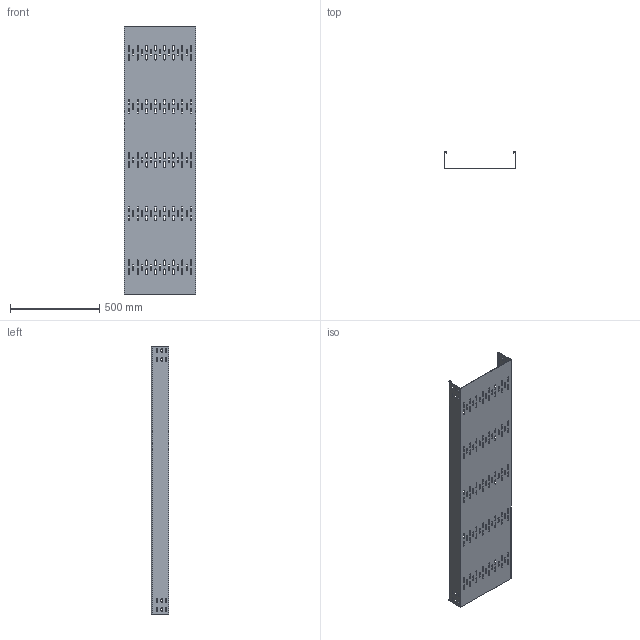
import cadquery as cq

width = 400.0
depth = 98.0
length = 1500.0
thickness = 2.0

curl_radius = 6.0
return_length = 5.0

slot_width = 7.0
web_slot_length = 32.0
web_slot_pitch = 50.0
web_slot_columns = 8
group_pitch = 300.0
group_count = 5

flange_slot_length = 20.0
flange_slot_columns = 3
flange_slot_column_pitch = 25.0
flange_slot_first_offset = 15.0
flange_slot_rows = 2
flange_slot_row_pitch = 50.0
flange_slot_end_offset = 25.0

half_width = width / 2
half_length = length / 2
curl_center_y = depth - curl_radius
return_end_y = curl_center_y - return_length
web_cut_reach = 2 * thickness


def half_profile():
    """Cross-section in X and Y on the +X side, with the web's outer face at Y = 0."""
    flange_inner_x = half_width - thickness
    curl_center_x = half_width - curl_radius
    lip_x = half_width - 2 * curl_radius
    return (
        cq.Workplane("XY")
        .workplane(offset=-half_length)
        .lineTo(half_width, 0)
        .lineTo(half_width, curl_center_y)
        .threePointArc((curl_center_x, depth), (lip_x, curl_center_y))
        .lineTo(lip_x, return_end_y)
        .lineTo(lip_x + thickness, return_end_y)
        .lineTo(lip_x + thickness, curl_center_y)
        .threePointArc((curl_center_x, depth - thickness), (flange_inner_x, curl_center_y))
        .lineTo(flange_inner_x, thickness)
        .lineTo(0, thickness)
        .close()
    )


def channel():
    half = half_profile().extrude(length)
    return half.union(half.mirror("YZ"))


def centered_positions(count, pitch):
    return [(i - (count - 1) / 2) * pitch for i in range(count)]


def web_slot_points():
    """Each group: two rows of slots, with a staggered row between them."""
    points = []
    for group_z in centered_positions(group_count, group_pitch):
        for x in centered_positions(web_slot_columns, web_slot_pitch):
            points.append((x, group_z - web_slot_pitch / 2))
            points.append((x, group_z + web_slot_pitch / 2))
        for x in centered_positions(web_slot_columns - 1, web_slot_pitch):
            points.append((x, group_z))
    return points


def web_slot_cutter():
    return (
        cq.Workplane("XZ")
        .pushPoints(web_slot_points())
        .slot2D(web_slot_length, slot_width, 90)
        .extrude(web_cut_reach, both=True)
    )


def flange_slot_points():
    points = []
    for column in range(flange_slot_columns):
        y = flange_slot_first_offset + column * flange_slot_column_pitch
        for row in range(flange_slot_rows):
            z = half_length - flange_slot_end_offset - row * flange_slot_row_pitch
            points.append((y, z))
            points.append((y, -z))
    return points


def flange_slot_cutter():
    return (
        cq.Workplane("YZ")
        .pushPoints(flange_slot_points())
        .slot2D(flange_slot_length, slot_width, 90)
        .extrude(width, both=True)
    )


result = channel().cut(web_slot_cutter()).cut(flange_slot_cutter())